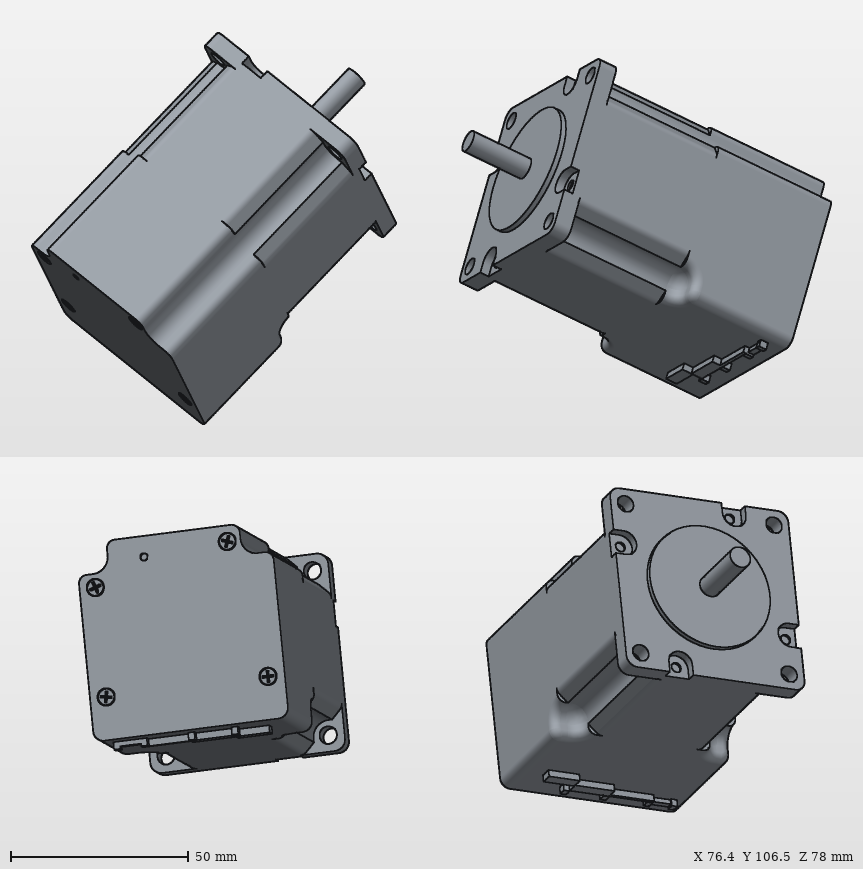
import cadquery as cq
import math


TILT_AXIS = (1.04, 0, 1)
TILT_ANGLE = 21.5

SIDE = 56.6
HALF = SIDE / 2
FLANGE_THICKNESS = 5.3
SEAM = 41.9
REAR = 79.6
FLANGE_CORNER_RADIUS = 3.2
DRIVER_CORNER_RADIUS = 3.0
SIDE_EDGE_RADIUS = 2.5

HOLE_OFFSET = 47.2 / 2
HOLE_DIAMETER = 5.0
NOTCH_WALL = HOLE_OFFSET - 4.3
NOTCH_RADIUS = 4.7
RUN_OUT_RADIUS = 4.3
NOTCH_OUTSIDE = HALF + 1.1
MOTOR_CHAMFER = 3.2

PILOT_DIAMETER = 38.1
PILOT_HEIGHT = 1.6
SHAFT_DIAMETER = 6.4
SHAFT_LENGTH = 20.7

POCKET_WIDTH = 7.5
POCKET_DEPTH = 2.8
POCKET_SHIFT = 11.1
POCKET_CENTER = HALF - 3.2
POCKET_HOLE_DIAMETER = 3.0
POCKET_HOLE_DEPTH = 0.6

REAR_SCREWS = [(-23.7, 15.4, 20), (15.4, 23.7, 70), (-23.6, -16.0, 80), (23.4, -16.0, 0)]
SCREW_RECESS_DIAMETER = 5.0
SCREW_HEAD_DIAMETER = 4.7
SCREW_GAP_DEPTH = 0.5
CROSS_LENGTH = 3.2
CROSS_WIDTH = 0.5
CROSS_DEPTH = 0.9
INDICATOR_POSITION = (-8.9, 22.4)
INDICATOR_DIAMETER = 2.1
INDICATOR_DEPTH = 1.1

CONNECTORS = [
    (10.4, 20.2, 65.7, 69.2, 2.0),
    (-2.1, 10.4, 68.7, 72.2, 2.0),
    (-16.0, -2.1, 71.2, 72.2, 2.0),
    (-23.8, -16.0, 72.7, 74.5, 1.4),
]

LATCH_FRONT = 72.2
LATCH_REAR = 74.5
LATCH_WIDTH = 1.8
LATCH_HEIGHT = 2.1


def section(distance):
    """Plane across the motor axis; extrusion runs rearward."""
    return cq.Workplane("XZ", origin=(0, -distance, 0))


def square_bar(start, end):
    return section(start).rect(SIDE, SIDE).extrude(end - start)


def corner_notch(start, end, chamfer=0):
    """Tool for the +X +Z corner: two walls joined by an arc."""
    lip = HALF - chamfer
    foot = NOTCH_WALL - chamfer
    arc_center = NOTCH_WALL + NOTCH_RADIUS
    arc_middle = arc_center - NOTCH_RADIUS * math.sqrt(0.5)
    outline = section(start).moveTo(NOTCH_OUTSIDE, NOTCH_OUTSIDE).lineTo(foot, NOTCH_OUTSIDE)
    if chamfer:
        outline = outline.lineTo(foot, HALF).lineTo(NOTCH_WALL, lip)
    outline = (
        outline.lineTo(NOTCH_WALL, arc_center)
        .threePointArc((arc_middle, arc_middle), (arc_center, NOTCH_WALL))
    )
    if chamfer:
        outline = outline.lineTo(lip, NOTCH_WALL).lineTo(HALF, foot)
    return outline.lineTo(NOTCH_OUTSIDE, foot).close().extrude(end - start)


def turned(tool, quarter_turns):
    return tool.rotate((0, 0, 0), (0, 1, 0), 90 * quarter_turns)


def spread(center):
    return max(abs(center.x), abs(center.z))


def round_side_edges(body, start, end):
    """Round the edges that lie in the four body sides, except those at the two ends."""
    edges = []
    for edge in body.edges().vals():
        center = edge.Center()
        on_side = abs(spread(center) - HALF) < 0.01
        if on_side and -end + 0.01 < center.y < -start - 0.01:
            edges.append(edge)
    return body.newObject(edges).fillet(SIDE_EDGE_RADIUS)


def flange():
    plate = square_bar(0, FLANGE_THICKNESS).edges("|Y").fillet(FLANGE_CORNER_RADIUS)
    corners = section(0).rect(2 * HOLE_OFFSET, 2 * HOLE_OFFSET, forConstruction=True).vertices()
    plate = plate.cut(corners.circle(HOLE_DIAMETER / 2).extrude(FLANGE_THICKNESS))
    pocket = screw_pocket()
    for quarter in range(4):
        plate = plate.cut(turned(pocket, quarter))
    return plate


def screw_pocket():
    center = section(0).center(-POCKET_SHIFT, POCKET_CENTER)
    reach = HALF - POCKET_CENTER
    round_end = center.circle(POCKET_WIDTH / 2).extrude(POCKET_DEPTH)
    mouth = center.center(0, reach / 2).rect(POCKET_WIDTH, reach).extrude(POCKET_DEPTH)
    hole = center.circle(POCKET_HOLE_DIAMETER / 2).extrude(POCKET_DEPTH + POCKET_HOLE_DEPTH)
    return round_end.union(mouth).union(hole)


def motor():
    body = square_bar(FLANGE_THICKNESS, SEAM)
    notch = corner_notch(FLANGE_THICKNESS, SEAM, MOTOR_CHAMFER)
    for quarter in range(4):
        body = body.cut(turned(notch, quarter))
    return round_side_edges(body, FLANGE_THICKNESS, SEAM)


def notch_run_out():
    """End of a notch that stops in the driver housing, hollowed like a ball end."""
    tool = corner_notch(FLANGE_THICKNESS, SEAM + RUN_OUT_RADIUS)
    end_edges = tool.faces("<Y").edges().vals()
    wall_edges = [edge for edge in end_edges if spread(edge.Center()) < HALF]
    return tool.newObject(wall_edges).fillet(RUN_OUT_RADIUS)


def driver():
    """Housing whose upper notches run through and whose lower notches stop."""
    body = square_bar(SEAM, REAR).edges("|Y and <Z").fillet(DRIVER_CORNER_RADIUS)
    through = corner_notch(SEAM, REAR)
    run_out = notch_run_out()
    for quarter, tool in enumerate([through, run_out, run_out, through]):
        body = body.cut(turned(tool, quarter))
    return round_side_edges(body, SEAM, REAR)


def rear_screw(x, z, turn):
    """Cut around and into one flush screw head."""
    gap = (
        section(REAR - SCREW_GAP_DEPTH).center(x, z)
        .circle(SCREW_RECESS_DIAMETER / 2).circle(SCREW_HEAD_DIAMETER / 2).extrude(SCREW_GAP_DEPTH)
    )
    floor = section(REAR - CROSS_DEPTH).center(x, z)
    for angle in (turn, turn + 90):
        slot = floor.transformed(rotate=(0, 0, angle)).rect(CROSS_LENGTH, CROSS_WIDTH)
        gap = gap.union(slot.extrude(CROSS_DEPTH))
    return gap


def under_block(left, right, front, rear, height):
    """Block hanging from the underside of the driver housing."""
    size = (right - left, rear - front, height)
    return cq.Workplane("XY").box(*size, centered=False).translate((left, -rear, -HALF - height))


body = flange().union(motor()).union(driver())
body = body.union(section(0).circle(PILOT_DIAMETER / 2).extrude(-PILOT_HEIGHT))
body = body.union(section(0).circle(SHAFT_DIAMETER / 2).extrude(-SHAFT_LENGTH))

for screw in REAR_SCREWS:
    body = body.cut(rear_screw(*screw))
indicator = section(REAR - INDICATOR_DEPTH).center(*INDICATOR_POSITION).circle(INDICATOR_DIAMETER / 2)
body = body.cut(indicator.extrude(INDICATOR_DEPTH))

for left, right, front, rear, height in CONNECTORS:
    body = body.union(under_block(left, right, front, rear, height))
    body = body.union(under_block(left, left + LATCH_WIDTH, LATCH_FRONT, LATCH_REAR, LATCH_HEIGHT))

result = body.rotate((0, 0, 0), TILT_AXIS, TILT_ANGLE)